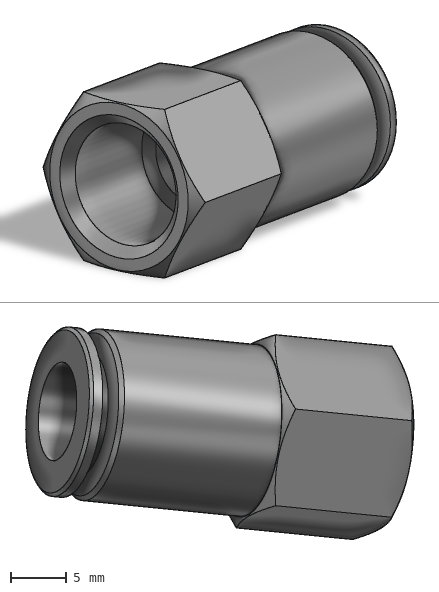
import cadquery as cq
import math

total_length = 31.8

hex_across_flats = 16.0
hex_sides = 6
hex_half_sector = 180.0 / hex_sides
hex_across_corners = hex_across_flats / math.cos(math.radians(hex_half_sector))
hex_length = 13.0
hex_face_radius = 7.9
hex_chamfer_angle = 30.0

body_radius = 7.85
body_chamfer = 0.4
body_chamfer_start = total_length - 3.3
body_face_angle = 10.0

neck_radius = 5.72
collar_radius = 7.75
collar_chamfer = 0.3
collar_underside = total_length - 1.2
neck_root_chamfer = 0.15

through_radius = 4.5
thread_radius = 5.75
thread_mouth_radius = 6.75
thread_mouth_depth = thread_mouth_radius - thread_radius
thread_depth = 11.0
drill_point_half_angle = 70.0


def turned(profile):
    """Solid of revolution about the Y axis from (radius, Y) points."""
    return cq.Workplane("XY").polyline(profile).close().revolve(360, (0, 0, 0), (0, 1, 0))


def make_hexagon():
    """Hexagonal prism with flats facing +Z and -Z and its corners turned off at both ends."""
    prism = cq.Workplane("XZ").polygon(hex_sides, hex_across_corners).extrude(-hex_length)
    corner_radius = hex_across_corners / 2
    corner_drop = (corner_radius - hex_face_radius) * math.tan(math.radians(hex_chamfer_angle))
    envelope = turned([
        (0, 0),
        (hex_face_radius, 0),
        (corner_radius, corner_drop),
        (corner_radius, hex_length - corner_drop),
        (hex_face_radius, hex_length),
        (0, hex_length),
    ])
    return prism.intersect(envelope)


def make_body_and_collar():
    """Round body with a slightly conical end face, then the neck and the release collar."""
    shoulder_radius = body_radius - body_chamfer
    shoulder = body_chamfer_start + body_chamfer
    face_rise = (shoulder_radius - neck_radius) * math.tan(math.radians(body_face_angle))
    return turned([
        (0, 0),
        (body_radius, 0),
        (body_radius, body_chamfer_start),
        (shoulder_radius, shoulder),
        (neck_radius, shoulder + face_rise),
        (neck_radius, collar_underside - neck_root_chamfer),
        (neck_radius + neck_root_chamfer, collar_underside),
        (collar_radius, collar_underside),
        (collar_radius, total_length - collar_chamfer),
        (collar_radius - collar_chamfer, total_length),
        (0, total_length),
    ])


def make_bore():
    """Countersunk threaded hole with a drill-point bottom, opening into the through bore."""
    point_length = (thread_radius - through_radius) / math.tan(math.radians(drill_point_half_angle))
    return turned([
        (0, 0),
        (thread_mouth_radius, 0),
        (thread_radius, thread_mouth_depth),
        (thread_radius, thread_depth),
        (through_radius, thread_depth + point_length),
        (through_radius, total_length),
        (0, total_length),
    ])


result = make_hexagon().union(make_body_and_collar()).cut(make_bore())